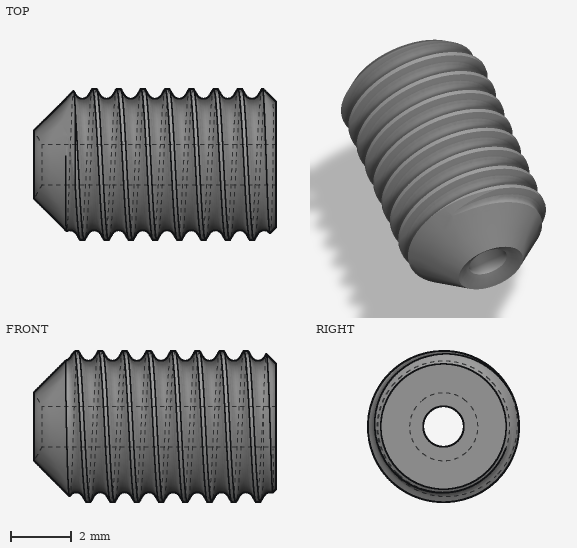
import cadquery as cq
import math

length = 8.0
major_radius = 2.5
nose_radius = 1.125
tail_chamfer = 0.43

bore_radius = 0.665
countersink_angle = math.radians(120)

pitch = 0.8
crest_width = pitch / 6
flank_angle = math.radians(30)
root_arc_radius = 0.25
thread_overrun = pitch
cutter_margin = 0.05
groove_start = 0.75 * pitch


def make_body():
    nose_length = major_radius - nose_radius
    return (
        cq.Workplane("XZ")
        .moveTo(0, 0)
        .lineTo(0, nose_radius)
        .lineTo(nose_length, major_radius)
        .lineTo(length - tail_chamfer, major_radius)
        .lineTo(length, major_radius - tail_chamfer)
        .lineTo(length, 0)
        .close()
        .revolve(360, (0, 0, 0), (1, 0, 0))
    )


def make_bore():
    countersink_depth = (nose_radius - bore_radius) / math.tan(countersink_angle / 2)
    return (
        cq.Workplane("XZ")
        .moveTo(0, 0)
        .lineTo(0, nose_radius)
        .lineTo(countersink_depth, bore_radius)
        .lineTo(length, bore_radius)
        .lineTo(length, 0)
        .close()
        .revolve(360, (0, 0, 0), (1, 0, 0))
    )


def make_thread_groove():
    """Sweep the groove profile about Z, then turn the groove onto the X axis."""
    half_opening = (pitch - crest_width) / 2
    flank_apex = major_radius - half_opening / math.tan(flank_angle)
    arc_centre = flank_apex + root_arc_radius / math.sin(flank_angle)
    root_radius = arc_centre - root_arc_radius
    tangent_radius = arc_centre - root_arc_radius * math.sin(flank_angle)
    tangent_half_width = root_arc_radius * math.cos(flank_angle)
    outer_radius = major_radius + cutter_margin
    outer_half_width = half_opening + cutter_margin * math.tan(flank_angle)

    groove_length = length + thread_overrun - groove_start
    helix = cq.Wire.makeHelix(pitch, groove_length, major_radius)
    groove = (
        cq.Workplane("XZ")
        .moveTo(outer_radius, -outer_half_width)
        .lineTo(tangent_radius, -tangent_half_width)
        .threePointArc((root_radius, 0), (tangent_radius, tangent_half_width))
        .lineTo(outer_radius, outer_half_width)
        .close()
        .sweep(cq.Workplane(obj=helix), isFrenet=True)
    )
    return groove.rotate((0, 0, 0), (0, 1, 0), 90).translate((groove_start, 0, 0))


result = make_body().cut(make_thread_groove()).cut(make_bore())